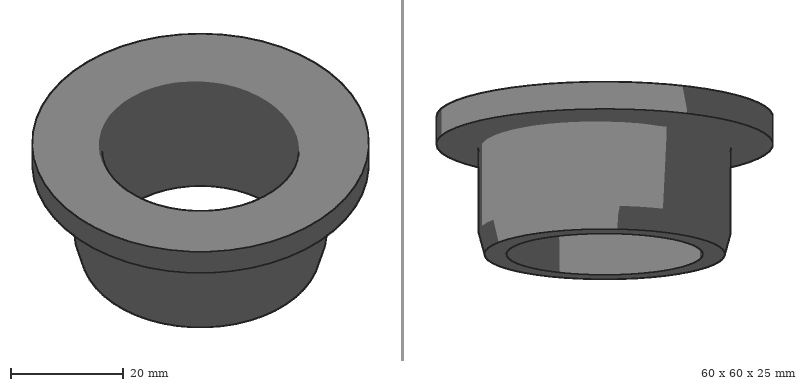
import cadquery as cq
import math

flange_diameter = 60.0
total_height = 25.0
flange_thickness = 5.0

sleeve_diameter = 45.0
bore_diameter = 35.0
bore_entry_radius = 2.0

taper_height = 4.0
taper_angle = 15.0

neck_fillet_radius = 1.0

flange_radius = flange_diameter / 2
sleeve_radius = sleeve_diameter / 2
bore_radius = bore_diameter / 2
flange_underside = total_height - flange_thickness
tip_radius = sleeve_radius - taper_height * math.tan(math.radians(taper_angle))

profile = (
    cq.Workplane("XZ")
    .moveTo(bore_radius, 0)
    .lineTo(tip_radius, 0)
    .lineTo(sleeve_radius, taper_height)
    .lineTo(sleeve_radius, flange_underside - neck_fillet_radius)
    .radiusArc((sleeve_radius + neck_fillet_radius, flange_underside), neck_fillet_radius)
    .lineTo(flange_radius, flange_underside)
    .lineTo(flange_radius, total_height)
    .lineTo(bore_radius + bore_entry_radius, total_height)
    .radiusArc((bore_radius, total_height - bore_entry_radius), -bore_entry_radius)
    .close()
)

result = profile.revolve(360, (0, 0, 0), (0, 1, 0))